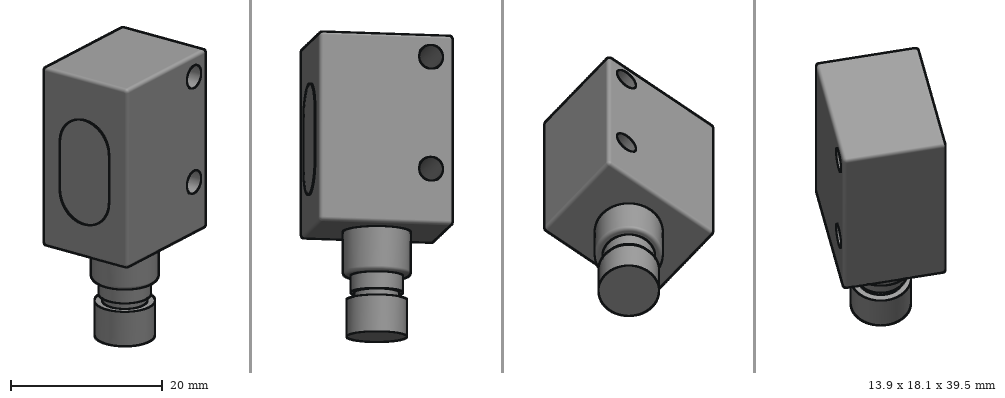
import cadquery as cq

total_height = 39.5
housing_width = 13.9
housing_depth = 17.97
housing_height = 25.48
edge_radius = 0.5

lens_width = 8.0
lens_height = 14.85
lens_rise = 0.1
lens_centre_below_top = 13.3

hole_diameter = 3.2
hole_edge_distance = 3.0
hole_spacing = 15.0

collar_diameter = 9.0
collar_length = 5.9
collar_edge_radius = 0.5
shank_diameter = 7.0
shank_length = 2.2
neck_diameter = 6.0
neck_length = 1.0
plug_diameter = 8.0

housing_bottom = total_height - housing_height
collar_bottom = housing_bottom - collar_length
shank_bottom = collar_bottom - shank_length
plug_length = shank_bottom - neck_length


def cylinder(diameter, bottom, length):
    """Vertical cylinder on the connector axis."""
    return cq.Workplane("XY").workplane(offset=bottom).circle(diameter / 2).extrude(length)


def make_housing():
    box = cq.Workplane("XY").workplane(offset=housing_bottom)
    box = box.rect(housing_width, housing_depth).extrude(housing_height)
    return box.edges().fillet(edge_radius)


def make_lens():
    root_depth = edge_radius
    return (
        cq.Workplane("XZ", origin=(0, root_depth - housing_depth / 2, 0))
        .center(0, total_height - lens_centre_below_top)
        .slot2D(lens_height, lens_width, 90)
        .extrude(root_depth + lens_rise)
    )


def make_mounting_holes():
    hole_y = housing_depth / 2 - hole_edge_distance
    upper_z = total_height - hole_edge_distance
    return (
        cq.Workplane("YZ")
        .pushPoints([(hole_y, upper_z), (hole_y, upper_z - hole_spacing)])
        .circle(hole_diameter / 2)
        .extrude(housing_width / 2, both=True)
    )


def make_connector():
    collar = cylinder(collar_diameter, collar_bottom, collar_length)
    collar = collar.faces("<Z").edges().fillet(collar_edge_radius)
    shank = cylinder(shank_diameter, shank_bottom, shank_length)
    neck = cylinder(neck_diameter, plug_length, neck_length)
    plug = cylinder(plug_diameter, 0, plug_length)
    return collar.union(shank).union(neck).union(plug)


result = make_housing().union(make_lens()).union(make_connector()).cut(make_mounting_holes())